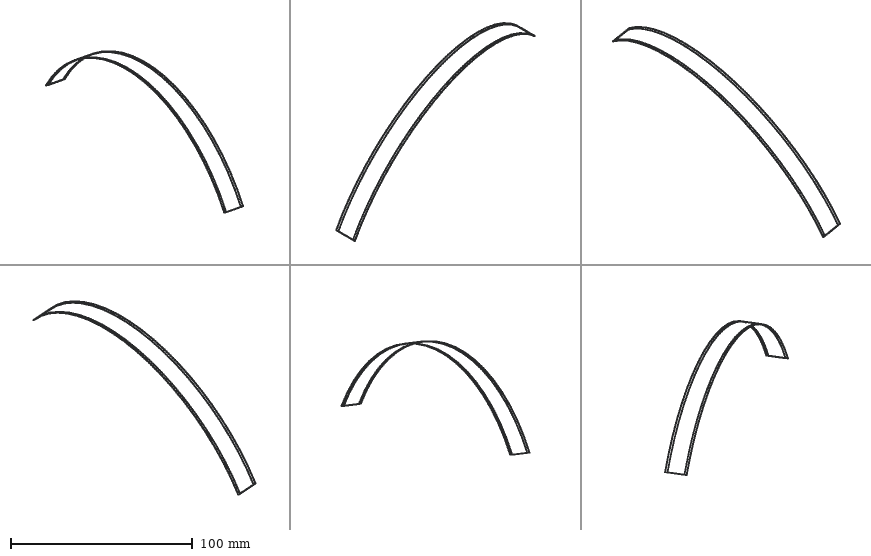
import cadquery as cq
import math

span = 170.7
rise = 47.8
width = 12.6

thickness = 0.2
strip_width = 9.9
strip_height = 0.1

arc_rise = rise - (thickness + strip_height) / 2
outer_radius = (span**2 / 4 + arc_rise**2) / (2 * arc_rise)
half_angle = math.asin(span / 2 / outer_radius)


def arc_band(inner, outer, band_width):
    """Arched band between two radii, centred on Y, with radial ends and its crown on +Z."""
    def point(radius, angle):
        return (radius * math.sin(angle), radius * math.cos(angle))

    return (
        cq.Workplane("XZ")
        .moveTo(*point(outer, -half_angle))
        .threePointArc(point(outer, 0), point(outer, half_angle))
        .lineTo(*point(inner, half_angle))
        .threePointArc(point(inner, 0), point(inner, -half_angle))
        .close()
        .extrude(band_width / 2, both=True)
    )


band_inner_radius = outer_radius - thickness
strip_inner_radius = band_inner_radius - strip_height
band = arc_band(band_inner_radius, outer_radius, width)
strip = arc_band(strip_inner_radius, outer_radius, strip_width)

result = band.union(strip)